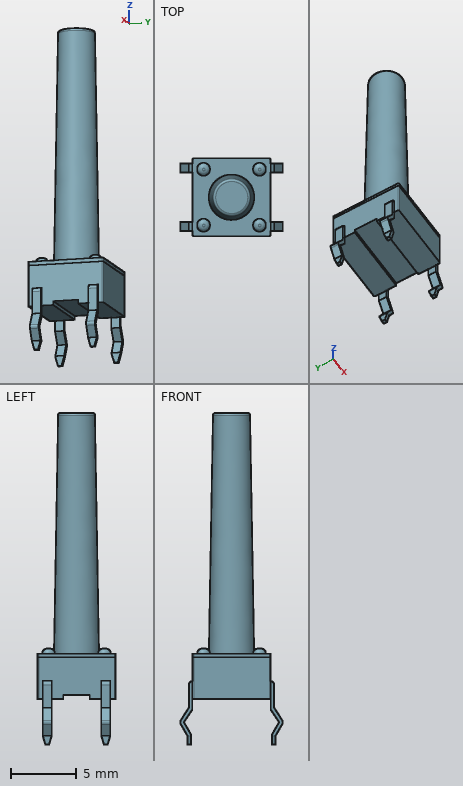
import cadquery as cq
import math

body_width = 6.0
body_top = 3.5
cover_thickness = 0.3
corner_radius = 0.1
channel_width = 2.0
channel_depth = 0.3

rivet_diameter = 1.0
rivet_height = 0.4
rivet_offset = 2.15

plunger_top = 22.0
plunger_base_diameter = 3.5
plunger_top_diameter = 2.86
plunger_fillet = 0.2

strip_thickness = 0.28
pin_width = 0.7
pin_offset_y = 2.25
pin_shoulder_height = 1.1
pin_top_radius = 0.3
outer_bend = -0.65
inner_bend = -0.81
elbow_height = -1.77
elbow_outer_corner_x = 4.0
elbow_inner_corner_x = 3.65
elbow_outer_radius = 0.3
foot_outer_bend = -2.81
foot_inner_bend = -2.73
foot_inner_x = 3.1
foot_thickness = 0.3
pin_bottom = -3.5
tip_width = 0.3

half_body = body_width / 2
housing_height = body_top - cover_thickness


def block(height, base_height):
    """Square block with rounded vertical edges."""
    return (
        cq.Workplane("XY", origin=(0, 0, base_height))
        .rect(body_width, body_width)
        .extrude(height)
        .edges("|Z")
        .fillet(corner_radius)
    )


def make_housing():
    """Block with a shallow channel along X across its underside."""
    channel = cq.Workplane("XY").box(body_width, channel_width, channel_depth, centered=(True, True, False))
    return block(housing_height, 0).cut(channel)


def make_rivet_head():
    """Short disc on the Z axis, rounded over its full height to a small flat."""
    flat_radius = rivet_diameter / 2 - rivet_height
    arc_middle = (
        flat_radius + rivet_height * math.sqrt(0.5),
        rivet_height * math.sqrt(0.5),
    )
    return (
        cq.Workplane("XZ")
        .lineTo(rivet_diameter / 2, 0)
        .threePointArc(arc_middle, (flat_radius, rivet_height))
        .lineTo(0, rivet_height)
        .close()
        .revolve(360, (0, 0), (0, 1))
    )


def make_cover():
    """Plate on top of the housing, carrying a rivet head near each corner."""
    cover = block(cover_thickness, housing_height)
    head = make_rivet_head()
    for x in (-rivet_offset, rivet_offset):
        for y in (-rivet_offset, rivet_offset):
            cover = cover.union(head.translate((x, y, body_top)))
    return cover


def make_plunger():
    """Tall tapered actuator with a rounded top edge."""
    return (
        cq.Workplane("XY", origin=(0, 0, body_top))
        .circle(plunger_base_diameter / 2)
        .workplane(offset=plunger_top - body_top)
        .circle(plunger_top_diameter / 2)
        .loft()
        .faces(">Z")
        .edges()
        .fillet(plunger_fillet)
    )


def make_strip():
    """Bent strip on the +X wall at Y = 0, of constant width."""
    outer_x = half_body + strip_thickness
    foot_outer_x = foot_inner_x + foot_thickness

    arc_centre_x = outer_x - pin_top_radius
    wall_angle = math.acos((half_body - arc_centre_x) / pin_top_radius)

    def top_arc_point(angle):
        return (
            arc_centre_x + pin_top_radius * math.cos(angle),
            pin_shoulder_height + pin_top_radius * math.sin(angle),
        )

    return (
        cq.Workplane("XZ")
        .moveTo(outer_x, pin_shoulder_height)
        .threePointArc(top_arc_point(wall_angle / 2), top_arc_point(wall_angle))
        .lineTo(half_body, inner_bend)
        .lineTo(elbow_inner_corner_x, elbow_height)
        .lineTo(foot_inner_x, foot_inner_bend)
        .lineTo(foot_inner_x, pin_bottom)
        .lineTo(foot_outer_x, pin_bottom)
        .lineTo(foot_outer_x, foot_outer_bend)
        .lineTo(elbow_outer_corner_x, elbow_height)
        .lineTo(outer_x, outer_bend)
        .close()
        .extrude(pin_width / 2, both=True)
        .edges("|Y and >X")
        .fillet(elbow_outer_radius)
    )


def make_pin():
    """Strip whose foot narrows to a tip at the bottom."""
    half_width = pin_width / 2
    half_tip = tip_width / 2
    tip_side = (
        cq.Workplane("YZ")
        .polyline([
            (half_width, foot_outer_bend),
            (half_width, pin_bottom),
            (half_tip, pin_bottom),
        ])
        .close()
        .extrude(body_width)
    )
    return make_strip().cut(tip_side).cut(tip_side.mirror("XZ"))


def make_pins():
    """Four pins, two on each of the +X and -X walls."""
    pin = make_pin()
    pins = []
    for turn in (0, 180):
        turned = pin.rotate((0, 0, 0), (0, 0, 1), turn)
        for y in (-pin_offset_y, pin_offset_y):
            pins.append(turned.translate((0, y, 0)).val())
    return pins


housing = make_housing()
cover = make_cover()
plunger = make_plunger()
pins = make_pins()

result = cq.Compound.makeCompound([housing.val(), cover.val(), plunger.val(), *pins])